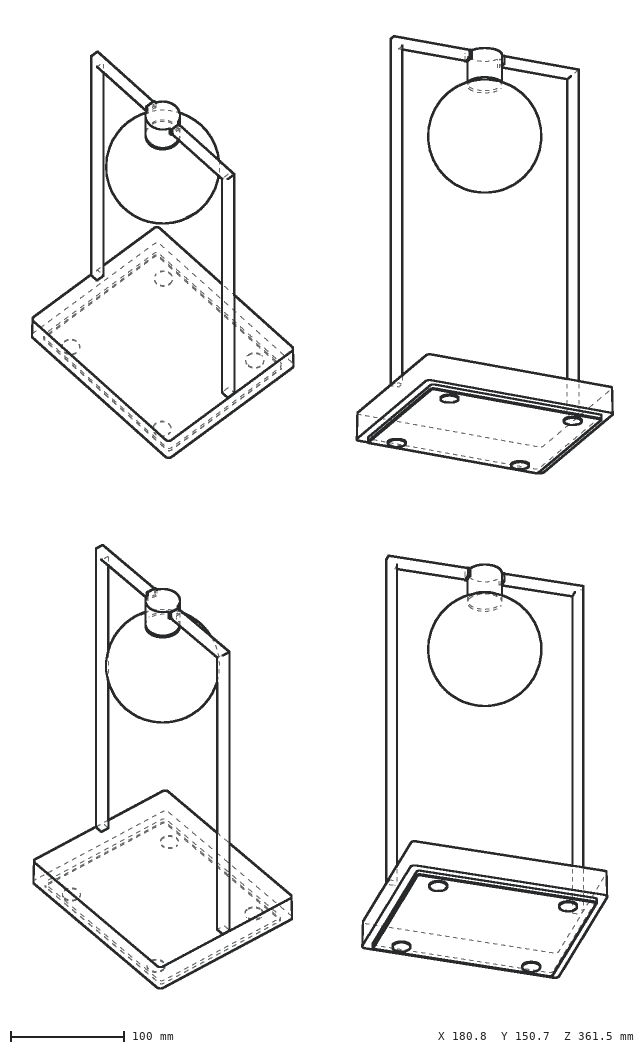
import cadquery as cq
import math

base_length = 180.8
base_depth = 150.7
base_bottom_z = 6.5
base_top_z = 31.5
base_top_inset = 0.55
base_corner_radius = 4.0
base_draft_angle = math.degrees(math.atan(base_top_inset / (base_top_z - base_bottom_z)))

plinth_inset = 7.5
plinth_bottom_z = 2.0
plinth_corner_radius = 3.0
plinth_edge_chamfer = 0.7

foot_radius = 8.0
foot_dome_height = 1.0
foot_spacing_x = 119.3
foot_spacing_y = 110.0

frame_top_z = 361.5
frame_length = 179.0
bar_size = 8.0
bar_edge_radius = 0.5
bar_underside_z = frame_top_z - bar_size

socket_radius = 15.2
socket_bottom_z = 333.3
socket_top_z = frame_top_z - bar_edge_radius
arm_reach = 16.5
arm_width = 9.8

globe_radius = 50.0
neck_height = 2.0
neck_base_z = socket_bottom_z - neck_height
globe_center_z = neck_base_z - math.sqrt(globe_radius**2 - socket_radius**2)


def make_base():
    """Block with leaning sides, on a plinth with a chamfered lower edge."""
    block_outline = cq.Sketch().rect(base_length, base_depth).vertices().fillet(base_corner_radius)
    block = (
        cq.Workplane("XY", origin=(0, 0, base_bottom_z))
        .placeSketch(block_outline)
        .extrude(base_top_z - base_bottom_z, taper=base_draft_angle)
    )
    plinth = (
        cq.Workplane("XY", origin=(0, 0, plinth_bottom_z))
        .rect(base_length - 2 * plinth_inset, base_depth - 2 * plinth_inset)
        .extrude(base_bottom_z - plinth_bottom_z)
        .edges("|Z")
        .fillet(plinth_corner_radius)
        .faces("<Z")
        .edges()
        .chamfer(plinth_edge_chamfer)
    )
    return block.union(plinth)


def make_foot(x, y):
    """Round foot with a plain rim above a shallow spherical dome."""
    dome_radius = (foot_radius**2 + foot_dome_height**2) / (2 * foot_dome_height)
    foot = (
        cq.Workplane("XZ")
        .moveTo(0, plinth_bottom_z)
        .lineTo(foot_radius, plinth_bottom_z)
        .lineTo(foot_radius, foot_dome_height)
        .radiusArc((0, 0), dome_radius)
        .close()
        .revolve(360, (0, 0, 0), (0, 1, 0))
    )
    return foot.translate((x, y, 0))


def make_frame_half(side):
    """Post and half crossbar in one piece; side is -1 for the -X half and +1 for the +X half."""
    outer_x = side * frame_length / 2
    inner_x = outer_x - side * bar_size
    end_x = side * arm_reach
    return (
        cq.Workplane("XZ")
        .moveTo(outer_x, base_top_z)
        .lineTo(outer_x, frame_top_z)
        .lineTo(end_x, frame_top_z)
        .lineTo(end_x, bar_underside_z)
        .lineTo(inner_x, bar_underside_z)
        .lineTo(inner_x, base_top_z)
        .close()
        .extrude(bar_size / 2, both=True)
        .faces("|Y")
        .edges("not <Z")
        .fillet(bar_edge_radius)
    )


def make_socket():
    """Barrel with an arm on each side, level with the crossbar."""
    barrel = (
        cq.Workplane("XY", origin=(0, 0, socket_bottom_z))
        .circle(socket_radius)
        .extrude(socket_top_z - socket_bottom_z)
    )
    arms = (
        cq.Workplane("XY", origin=(0, 0, bar_underside_z))
        .rect(2 * arm_reach, arm_width)
        .extrude(socket_top_z - bar_underside_z)
    )
    return barrel.union(arms)


def make_globe():
    """Solid sphere whose neck ends flat against the socket."""
    profile = (
        cq.Workplane("XZ")
        .moveTo(0, globe_center_z - globe_radius)
        .threePointArc((globe_radius, globe_center_z), (socket_radius, neck_base_z))
        .lineTo(socket_radius, socket_bottom_z)
        .lineTo(0, socket_bottom_z)
        .close()
    )
    return profile.revolve(360, (0, 0, 0), (0, 1, 0))


base = make_base()
feet = [
    make_foot(side_x * foot_spacing_x / 2, side_y * foot_spacing_y / 2)
    for side_x in (-1, 1)
    for side_y in (-1, 1)
]
frame_halves = [make_frame_half(side) for side in (-1, 1)]
socket = make_socket()
globe = make_globe()

bodies = [base, *feet, *frame_halves, socket, globe]
result = cq.Compound.makeCompound([body.val() for body in bodies])